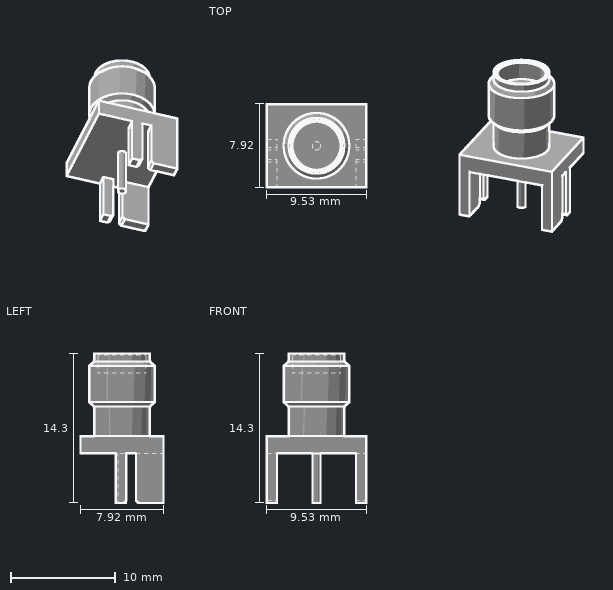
import cadquery as cq

base_length = 9.53
base_width = 7.92
total_height = 14.27

leg_height = 4.74
plate_thickness = 1.65
plate_top = leg_height + plate_thickness

leg_thickness = 1.02
narrow_leg_back = 0.6
narrow_leg_width = 1.02
leg_gap = 0.9
tip_chamfer = 0.25

pin_diameter = 0.79

barrel_radius = 2.66
collar_radius = 3.135
collar_chamfer_height = 0.45
collar_bottom = 9.19
collar_top = 13.52

bore_radius = 2.3
bore_depth = 1.88
bore_chamfer = 0.14


def make_plate():
    return (
        cq.Workplane("XY")
        .workplane(offset=leg_height)
        .rect(base_length, base_width)
        .extrude(plate_thickness)
    )


def make_leg_pair(x_start):
    """Narrow and wide leg, starting at x_start and running toward +X."""
    slot_back = narrow_leg_back - narrow_leg_width
    slot_front = slot_back - leg_gap
    plate_front = -base_width / 2

    narrow_outline = [
        (narrow_leg_back, leg_height),
        (narrow_leg_back, 0),
        (slot_back + tip_chamfer, 0),
        (slot_back, tip_chamfer),
        (slot_back, leg_height),
    ]
    wide_outline = [
        (slot_front, leg_height),
        (slot_front, tip_chamfer),
        (slot_front - tip_chamfer, 0),
        (plate_front, 0),
        (plate_front, leg_height),
    ]
    side_plane = cq.Workplane("YZ", origin=(x_start, 0, 0))
    narrow_leg = side_plane.polyline(narrow_outline).close().extrude(leg_thickness)
    wide_leg = side_plane.polyline(wide_outline).close().extrude(leg_thickness)
    return narrow_leg.add(wide_leg).combine()


def make_pin():
    return cq.Workplane("XY").circle(pin_diameter / 2).extrude(leg_height)


def make_barrel():
    """Barrel revolved about Z, including the socket and its lead-in chamfer."""
    bore_floor = total_height - bore_depth
    profile = [
        (0, plate_top),
        (barrel_radius, plate_top),
        (barrel_radius, collar_bottom),
        (collar_radius, collar_bottom + collar_chamfer_height),
        (collar_radius, collar_top - collar_chamfer_height),
        (barrel_radius, collar_top),
        (barrel_radius, total_height),
        (bore_radius + bore_chamfer, total_height),
        (bore_radius, total_height - bore_chamfer),
        (bore_radius, bore_floor),
        (0, bore_floor),
    ]
    return cq.Workplane("XZ").polyline(profile).close().revolve(360, (0, 0), (0, 1))


result = make_plate().union(make_barrel()).union(make_pin())
for leg_start in (-base_length / 2, base_length / 2 - leg_thickness):
    result = result.union(make_leg_pair(leg_start))